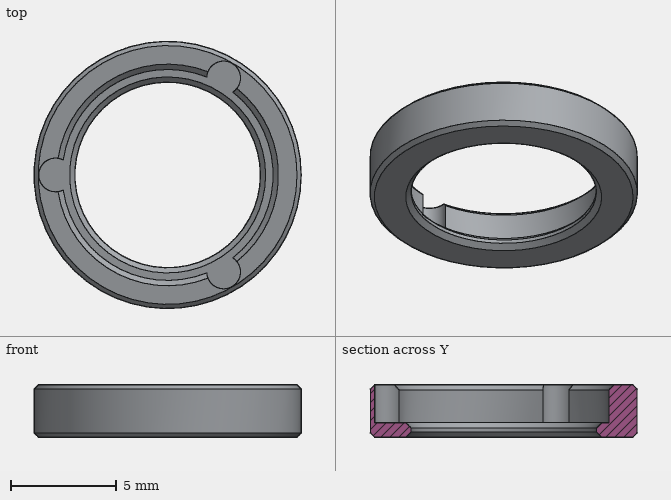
import cadquery as cq

outer_diameter = 12.7
height = 2.5
edge_chamfer = 0.2

bore_diameter = 8.8
seat_diameter = 10.02
seat_depth = 1.8
bore_chamfer = 0.25
seat_chamfer = 0.25

notch_count = 3
notch_diameter = 1.6
notch_center_radius = 5.32
first_notch_angle = 60.0

seat_floor = height - seat_depth


def make_body():
    """Solid disc with both outer rims chamfered."""
    disc = cq.Workplane("XY").circle(outer_diameter / 2).extrude(height)
    return disc.edges().chamfer(edge_chamfer)


def make_stepped_bore():
    """Revolved cutter for the bore, chamfered at both ends, and the seat, chamfered at its top."""
    bore_radius = bore_diameter / 2
    seat_radius = seat_diameter / 2
    profile = (
        cq.Workplane("XZ")
        .lineTo(bore_radius + bore_chamfer, 0)
        .lineTo(bore_radius, bore_chamfer)
        .lineTo(bore_radius, seat_floor - bore_chamfer)
        .lineTo(bore_radius + bore_chamfer, seat_floor)
        .lineTo(seat_radius, seat_floor)
        .lineTo(seat_radius, height - seat_chamfer)
        .lineTo(seat_radius + seat_chamfer, height)
        .lineTo(0, height)
        .close()
    )
    return profile.revolve(360, (0, 0, 0), (0, 1, 0))


def make_notches():
    """Cylindrical cutters reaching from the top face down to the seat floor."""
    return (
        cq.Workplane("XY", origin=(0, 0, seat_floor))
        .polarArray(notch_center_radius, first_notch_angle, 360, notch_count)
        .circle(notch_diameter / 2)
        .extrude(seat_depth)
    )


result = make_body().cut(make_stepped_bore()).cut(make_notches())